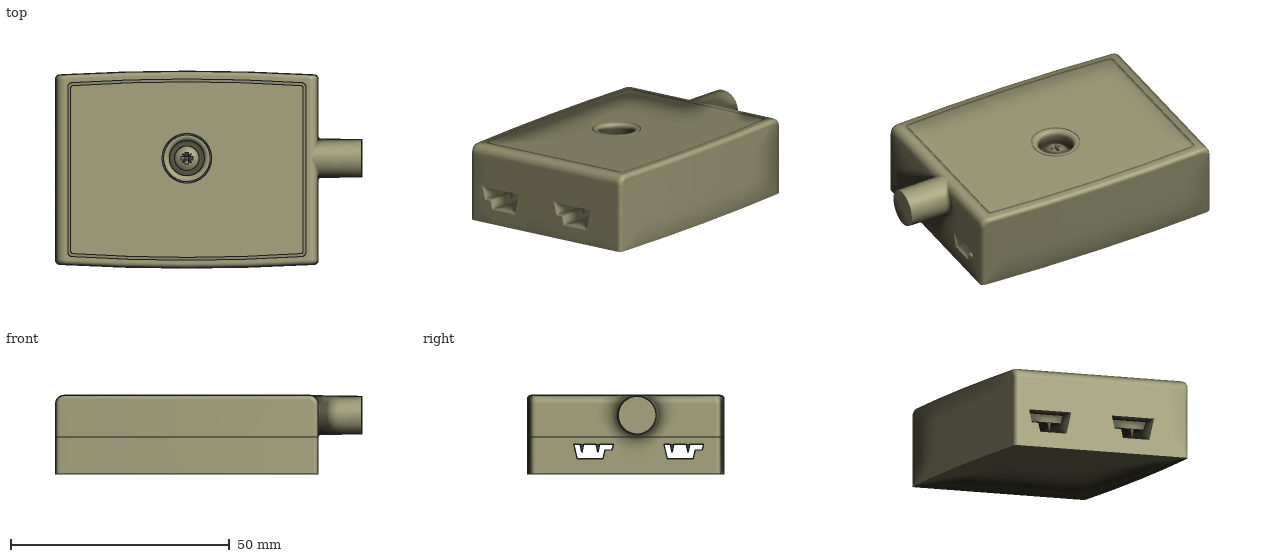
import cadquery as cq
import math

BODY_LENGTH = 60.0
BODY_WIDTH = 45.0
END_WIDTH = 43.2
BODY_HEIGHT = 18.0
BASE_HEIGHT = 8.5
LID_HEIGHT = BODY_HEIGHT - BASE_HEIGHT
END_TOP_RADIUS = 2.0
SIDE_RADIUS = 1.0
FEATURE_Y = 2.6

LABEL_DEPTH = 0.25
RIM_WIDTH = 0.8
LABEL_GAP = 0.65
RECESS_CORNER = 1.0
LABEL_CORNER = 0.6
LABEL_HOLE_DIAMETER = 11.3

WELL_RIM_DIAMETER = 10.67
WELL_DIAMETER = 8.0
WELL_LIP_RADIUS = 1.0
WELL_FLOOR_Z = 14.2

HEAD_DIAMETER = 5.6
HEAD_HEIGHT = 2.4
HEAD_EDGE_HEIGHT = 1.4
SHANK_DIAMETER = 3.0
SHANK_TIP_Z = 3.0
CROSS_SPAN = 3.1
CROSS_SLOT_WIDTH = 0.75
CROSS_DEPTH = 1.4
TICK_SPAN = 2.8
TICK_WIDTH = 0.1
TICK_DEPTH = 0.4

OVERALL_LENGTH = 70.0
BOSS_LENGTH = OVERALL_LENGTH - BODY_LENGTH
BOSS_ROOT_DIAMETER = 9.0
BOSS_TIP_DIAMETER = 8.6
BOSS_Z = 13.45
BOSS_ROOT_DEPTH = 4.0
BOSS_FILLET = 0.5

PORT_PITCH = 20.6
PORT_TOP_WIDTH = 10.5
PORT_SLOPE = 0.235
PORT_DEPTH = 5.0
STEP_DEPTH = 3.0
STEP_WIDTH = 1.6
PORT_TAPER = 0.7
ENTRY_LENGTH = 5.0
ROOF_DEPTH = 1.75

CONTACT_PITCH = 3.65
CONTACT_OFFSET = -0.5
CONTACT_DIAMETER = 0.85
CONTACT_TIP_DIAMETER = 0.15
CONTACT_LENGTH = 1.75
CONTACT_X = -BODY_LENGTH / 2 + ENTRY_LENGTH + 1.0


def bowed_outline(z, end_margin=0, side_margin=0):
    """Enclosure outline at height z, moved inward by margins at its ends and sides."""
    half_length = BODY_LENGTH / 2 - end_margin
    half_end = END_WIDTH / 2 - side_margin
    half_width = BODY_WIDTH / 2 - side_margin
    return (
        cq.Workplane("XY", origin=(0, 0, z))
        .moveTo(-half_length, -half_end)
        .threePointArc((0, -half_width), (half_length, -half_end))
        .lineTo(half_length, half_end)
        .threePointArc((0, half_width), (-half_length, half_end))
        .close()
    )


def top_panel(z, margin):
    """Flat panel set in by a margin from where the rounded top edges begin."""
    outline = bowed_outline(z, END_TOP_RADIUS + margin, SIDE_RADIUS + margin)
    return outline.extrude(LABEL_DEPTH)


def cylinder(diameter, bottom_z, top_z):
    """Vertical cylinder on the screw axis."""
    plane = cq.Workplane("XY", origin=(0, FEATURE_Y, bottom_z))
    return plane.circle(diameter / 2).extrude(top_z - bottom_z)


def port_outline(x, taper, port_y):
    """Stepped, sloping cross-section of a port on the plane at x."""
    left = port_y + PORT_TOP_WIDTH / 2
    right = port_y - PORT_TOP_WIDTH / 2 + taper
    step_y = left - PORT_SLOPE * STEP_DEPTH
    floor_z = BASE_HEIGHT - PORT_DEPTH
    step_z = BASE_HEIGHT - STEP_DEPTH
    floor_left = left - STEP_WIDTH - PORT_SLOPE * PORT_DEPTH
    floor_right = right + PORT_SLOPE * PORT_DEPTH
    points = [
        (left, BASE_HEIGHT),
        (step_y, step_z),
        (step_y - STEP_WIDTH, step_z),
        (floor_left, floor_z),
        (floor_right, floor_z),
        (right, BASE_HEIGHT),
    ]
    return cq.Wire.makePolygon([cq.Vector(x, y, z) for y, z in points], close=True)


def port_channel(port_y):
    """Through channel, roofed beyond its entry, with two pointed contacts."""
    near = port_outline(-BODY_LENGTH / 2, 0, port_y)
    far = port_outline(BODY_LENGTH / 2, PORT_TAPER, port_y)
    channel = cq.Workplane(cq.Solid.makeLoft([near, far], True))
    roof_z = BASE_HEIGHT - ROOF_DEPTH
    roof = cq.Workplane("XY").box(
        BODY_LENGTH, 2 * PORT_TOP_WIDTH, ROOF_DEPTH, centered=(False, True, False)
    ).translate((-BODY_LENGTH / 2 + ENTRY_LENGTH, port_y, roof_z))
    channel = channel.cut(roof)
    for side in (-1, 1):
        contact_y = port_y + CONTACT_OFFSET + side * CONTACT_PITCH / 2
        contact = cq.Solid.makeCone(
            CONTACT_DIAMETER / 2,
            CONTACT_TIP_DIAMETER / 2,
            CONTACT_LENGTH,
            cq.Vector(CONTACT_X, contact_y, roof_z),
            cq.Vector(0, 0, -1),
        )
        channel = channel.cut(cq.Workplane(contact))
    return channel


def make_base():
    base = bowed_outline(0).extrude(BASE_HEIGHT)
    base = base.edges("|Z").fillet(SIDE_RADIUS)
    for side in (-1, 1):
        base = base.cut(port_channel(FEATURE_Y + side * PORT_PITCH / 2))
    return base.cut(cylinder(SHANK_DIAMETER, SHANK_TIP_Z, BASE_HEIGHT))


def lid_shell():
    """Lid block with the short top edges and then the bowed sides rounded."""
    block = bowed_outline(BASE_HEIGHT).extrude(LID_HEIGHT)
    block = block.edges(">Z and |Y").fillet(END_TOP_RADIUS)
    side_rims = block.faces("<Y or >Y").edges("not <Z")
    return side_rims.fillet(SIDE_RADIUS)


def cable_boss():
    """Slightly tapered boss on the +X end."""
    root_x = BODY_LENGTH / 2
    boss = cq.Solid.makeCone(
        BOSS_ROOT_DIAMETER / 2,
        BOSS_TIP_DIAMETER / 2,
        BOSS_LENGTH + BOSS_ROOT_DEPTH,
        cq.Vector(root_x - BOSS_ROOT_DEPTH, FEATURE_Y, BOSS_Z),
        cq.Vector(1, 0, 0),
    )
    return cq.Workplane(boss)


def make_lid():
    lid = lid_shell().union(cable_boss())
    root_zone = cq.selectors.BoxSelector(
        (BODY_LENGTH / 2 - END_TOP_RADIUS, FEATURE_Y - BOSS_FILLET, BASE_HEIGHT + BOSS_FILLET),
        (BODY_LENGTH / 2 + BOSS_FILLET, FEATURE_Y + BOSS_FILLET, BODY_HEIGHT),
    )
    lid = lid.edges(root_zone).fillet(BOSS_FILLET)
    recess_z = BODY_HEIGHT - LABEL_DEPTH
    recess = top_panel(recess_z, RIM_WIDTH)
    recess = recess.edges("|Z").fillet(RECESS_CORNER)
    lid = lid.cut(recess.cut(cylinder(WELL_RIM_DIAMETER, recess_z, BODY_HEIGHT)))
    lid = lid.cut(cylinder(SHANK_DIAMETER, BASE_HEIGHT, WELL_FLOOR_Z))
    return lid.cut(screw_well())


def screw_well():
    """Round well whose mouth flares out through a rounded lip."""
    radius = WELL_DIAMETER / 2
    lip_z = BODY_HEIGHT - WELL_LIP_RADIUS
    diagonal = WELL_LIP_RADIUS * math.sqrt(0.5)
    lip_middle = (radius + WELL_LIP_RADIUS - diagonal, lip_z + diagonal)
    return (
        cq.Workplane("XZ", origin=(0, FEATURE_Y, 0))
        .moveTo(0, WELL_FLOOR_Z)
        .lineTo(radius, WELL_FLOOR_Z)
        .lineTo(radius, lip_z)
        .threePointArc(lip_middle, (radius + WELL_LIP_RADIUS, BODY_HEIGHT))
        .lineTo(0, BODY_HEIGHT)
        .close()
        .revolve(360, (0, 0, 0), (0, 1, 0))
    )


def make_label():
    label_z = BODY_HEIGHT - LABEL_DEPTH
    label = top_panel(label_z, RIM_WIDTH + LABEL_GAP)
    label = label.edges("|Z").fillet(LABEL_CORNER)
    return label.cut(cylinder(LABEL_HOLE_DIAMETER, label_z, BODY_HEIGHT))


def cross_slot(angle, top_z):
    """One slot of the cross recess, narrowing in length toward its floor."""
    half_top = CROSS_SPAN / 2
    half_floor = CROSS_SLOT_WIDTH / 2
    floor_z = -CROSS_DEPTH
    slot = (
        cq.Workplane("XZ")
        .polyline([(-half_top, 0), (-half_floor, floor_z), (half_floor, floor_z), (half_top, 0)])
        .close()
        .extrude(CROSS_SLOT_WIDTH / 2, both=True)
    )
    return slot.rotate((0, 0, 0), (0, 0, 1), angle).translate((0, FEATURE_Y, top_z))


def make_screw():
    """Domed cross-recess screw clamping the lid to the base."""
    radius = HEAD_DIAMETER / 2
    edge_z = WELL_FLOOR_Z + HEAD_EDGE_HEIGHT
    top_z = WELL_FLOOR_Z + HEAD_HEIGHT
    dome_rise = HEAD_HEIGHT - HEAD_EDGE_HEIGHT
    dome_radius = (radius**2 + dome_rise**2) / (2 * dome_rise)
    dome_middle_x = radius / 2
    dome_middle_z = top_z - dome_radius + math.sqrt(dome_radius**2 - dome_middle_x**2)
    head = (
        cq.Workplane("XZ", origin=(0, FEATURE_Y, 0))
        .moveTo(0, WELL_FLOOR_Z)
        .lineTo(radius, WELL_FLOOR_Z)
        .lineTo(radius, edge_z)
        .threePointArc((dome_middle_x, dome_middle_z), (0, top_z))
        .close()
        .revolve(360, (0, 0, 0), (0, 1, 0))
    )
    screw = head.union(cylinder(SHANK_DIAMETER, SHANK_TIP_Z, WELL_FLOOR_Z))
    for angle in (0, 90):
        screw = screw.cut(cross_slot(angle, top_z))
    ticks = (
        cq.Workplane("XY", origin=(0, FEATURE_Y, top_z - TICK_DEPTH))
        .transformed(rotate=(0, 0, 45))
        .rect(TICK_SPAN, TICK_WIDTH)
        .rect(TICK_WIDTH, TICK_SPAN)
        .extrude(TICK_DEPTH)
    )
    return screw.cut(ticks)


base = make_base()
lid = make_lid()
label = make_label()
screw = make_screw()

result = cq.Compound.makeCompound([base.val(), lid.val(), label.val(), screw.val()])